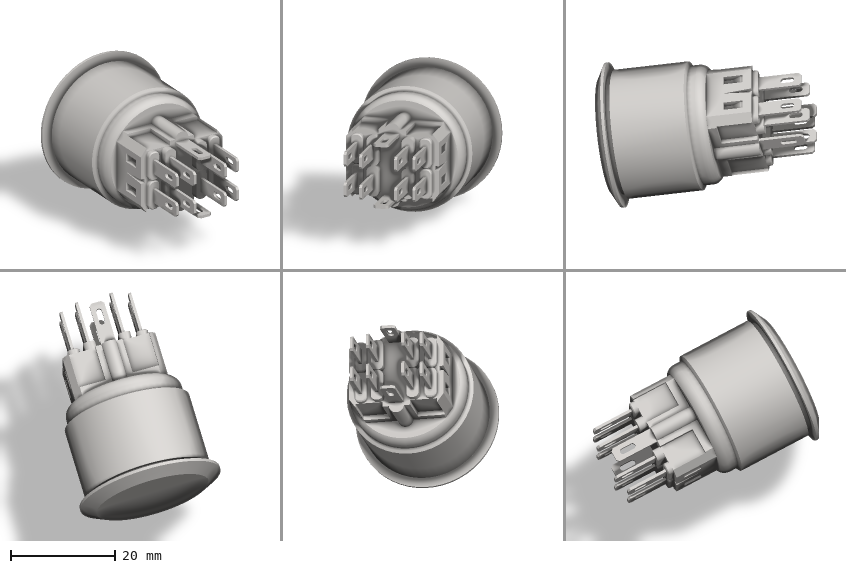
import cadquery as cq
import math

TOTAL_LENGTH = 40.4

FACE_RADIUS = 11.2
FLANGE_RADIUS = 28.0 / 2
BEVEL_END = 1.55
FLANGE_END = 2.1
NECK_RADIUS = 23.1 / 2
BARREL_RADIUS = 24.9 / 2
BARREL_START = 3.05
BARREL_END = 18.0
BARREL_CHAMFER = 0.5
TAIL_ROUND_START = 19.55
HOUSING_END = 21.35
TAIL_END_RADIUS = 10.6

BLOCK_END = 30.05
BLOCK_HALF_WIDTH = 9.25
BLOCK_HALF_HEIGHT = 7.0
FLAT_TOP_HALF_WIDTH = 7.85
FLAT_SIDE_HALF_HEIGHT = 5.1

RIB_RADIUS = 1.5
RIB_TOP = 8.32

RECESS_START = 23.03
RECESS_INNER_Y = 2.7
RECESS_OUTER_Y = 8.0
RECESS_DEPTH = 0.93

WINDOW_START = 24.65
WINDOW_LENGTH = 3.7
WINDOW_HEIGHT = 1.7
WINDOW_DEPTH = 1.25
LATCH_RAMP_START = 26.35
LATCH_RAMP_END = 27.8
LATCH_TOP_DEPTH = 0.4
NOTCH_HALF_HEIGHT = 0.45
NOTCH_DEPTH = 0.8

TERMINAL_WIDTH = 2.9
TERMINAL_THICKNESS = 0.55
TIP_CHAMFER = 0.5
TERMINAL_ROOT = 0.8
SLOT_WIDTH = 1.15
SLOT_TO_TIP = 1.37
SIDE_SLOT_LENGTH = 2.63
TOP_SLOT_LENGTH = 3.25
TERMINAL_Z = 3.05
INNER_TERMINAL_Y = 3.47
OUTER_TERMINAL_Y = 6.83
TOP_TERMINAL_Z = 6.1
OUTER_TERMINAL_END = 39.4
TOP_TERMINAL_END = 38.65

BOSS_WIDTH = 2.4
BOSS_HEIGHT = 5.98
BOSS_ROUND = 1.0
BOSS_END_CHAMFER = 0.2
INNER_BOSS_END = 31.65
OUTER_BOSS_END = 31.1


def box_between(x_range, y_range, z_range):
    """Axis-aligned box given by its two limits along each axis."""
    spans = [(min(r), max(r)) for r in (x_range, y_range, z_range)]
    sizes = [high - low for low, high in spans]
    corner = tuple(low for low, _ in spans)
    return cq.Workplane("XY").box(*sizes, centered=False).translate(corner)


def make_housing():
    """Bevelled flange, barrel and rounded tail, revolved about X."""
    round_length = HOUSING_END - TAIL_ROUND_START
    round_drop = NECK_RADIUS - TAIL_END_RADIUS
    arc_radius = (round_length**2 + round_drop**2) / (2 * round_drop)
    half_angle = math.asin(round_length / arc_radius) / 2
    arc_middle = (
        TAIL_ROUND_START + arc_radius * math.sin(half_angle),
        NECK_RADIUS - arc_radius * (1 - math.cos(half_angle)),
    )
    return (
        cq.Workplane("XY")
        .moveTo(0, 0)
        .lineTo(0, FACE_RADIUS)
        .lineTo(BEVEL_END, FLANGE_RADIUS)
        .lineTo(FLANGE_END, FLANGE_RADIUS)
        .lineTo(FLANGE_END, NECK_RADIUS)
        .lineTo(BARREL_START, NECK_RADIUS)
        .lineTo(BARREL_START, BARREL_RADIUS)
        .lineTo(BARREL_END - BARREL_CHAMFER, BARREL_RADIUS)
        .lineTo(BARREL_END, NECK_RADIUS)
        .lineTo(TAIL_ROUND_START, NECK_RADIUS)
        .threePointArc(arc_middle, (HOUSING_END, TAIL_END_RADIUS))
        .lineTo(HOUSING_END, 0)
        .close()
        .revolve(360, (0, 0, 0), (1, 0, 0))
    )


def make_block():
    """Octagonal block with a rounded rib along its top and bottom."""
    length = BLOCK_END - HOUSING_END
    octagon = []
    for side_y, side_z in ((1, 1), (-1, 1), (-1, -1), (1, -1)):
        corner = [
            (side_y * BLOCK_HALF_WIDTH, side_z * FLAT_SIDE_HALF_HEIGHT),
            (side_y * FLAT_TOP_HALF_WIDTH, side_z * BLOCK_HALF_HEIGHT),
        ]
        octagon += corner if side_y == side_z else corner[::-1]
    rear_of_housing = cq.Workplane("YZ", origin=(HOUSING_END, 0, 0))
    block = rear_of_housing.polyline(octagon).close().extrude(length)
    rib_z = RIB_TOP - RIB_RADIUS
    ribs = rear_of_housing.pushPoints([(0, rib_z), (0, -rib_z)]).circle(RIB_RADIUS).extrude(length)
    return block.union(ribs)


def make_recess(side_y, side_z):
    """Shallow pocket in the top or bottom face, open at the rear end."""
    return box_between(
        (RECESS_START, BLOCK_END),
        (side_y * RECESS_INNER_Y, side_y * RECESS_OUTER_Y),
        (side_z * (BLOCK_HALF_HEIGHT - RECESS_DEPTH), side_z * BLOCK_HALF_HEIGHT),
    )


def make_window(z_center):
    """Pocket in the -Y wall whose floor ramps up to a latch step."""
    window_end = WINDOW_START + WINDOW_LENGTH
    deep_y = WINDOW_DEPTH - BLOCK_HALF_WIDTH
    latch_y = LATCH_TOP_DEPTH - BLOCK_HALF_WIDTH
    outline = [
        (WINDOW_START, -BLOCK_HALF_WIDTH),
        (WINDOW_START, deep_y),
        (LATCH_RAMP_START, deep_y),
        (LATCH_RAMP_END, latch_y),
        (window_end, latch_y),
        (window_end, -BLOCK_HALF_WIDTH),
    ]
    low_plane = cq.Workplane("XY", origin=(0, 0, z_center - WINDOW_HEIGHT / 2))
    return low_plane.polyline(outline).close().extrude(WINDOW_HEIGHT)


def make_notch():
    """Wedge in the middle of the -Y wall, widening toward the rear end."""
    outline = [
        (WINDOW_START, 0),
        (BLOCK_END, NOTCH_HALF_HEIGHT),
        (BLOCK_END, -NOTCH_HALF_HEIGHT),
    ]
    wall = cq.Workplane("XZ", origin=(0, -BLOCK_HALF_WIDTH, 0))
    return wall.polyline(outline).close().extrude(-NOTCH_DEPTH)


def make_boss(end, y, z):
    """Insulator with rounded corners, standing on the rear of the block."""
    return (
        cq.Workplane("YZ", origin=(BLOCK_END, y, z))
        .rect(BOSS_WIDTH, BOSS_HEIGHT)
        .extrude(end - BLOCK_END)
        .edges("|X")
        .fillet(BOSS_ROUND)
    )


def make_terminal(end, slot_length):
    """Flat slotted terminal lying in the XY plane, centred on the X axis."""
    start = BLOCK_END - TERMINAL_ROOT
    slot_center = end - SLOT_TO_TIP - slot_length / 2
    plate = (
        box_between(
            (start, end),
            (-TERMINAL_WIDTH / 2, TERMINAL_WIDTH / 2),
            (-TERMINAL_THICKNESS / 2, TERMINAL_THICKNESS / 2),
        )
        .edges("|Z and >X")
        .chamfer(TIP_CHAMFER)
    )
    slot = (
        cq.Workplane("XY", origin=(slot_center, 0, -TERMINAL_THICKNESS))
        .slot2D(slot_length, SLOT_WIDTH)
        .extrude(2 * TERMINAL_THICKNESS)
    )
    return plate.cut(slot)


block = make_block()
for side_y in (1, -1):
    for side_z in (1, -1):
        block = block.cut(make_recess(side_y, side_z))

wall_cuts = make_window(TERMINAL_Z).union(make_window(-TERMINAL_Z)).union(make_notch())
block = block.cut(wall_cuts).cut(wall_cuts.mirror("XZ"))

result = make_housing().union(block)

for side_y in (1, -1):
    for side_z in (1, -1):
        z = side_z * TERMINAL_Z
        inner_boss = make_boss(INNER_BOSS_END, side_y * INNER_TERMINAL_Y, z)
        outer_boss = make_boss(OUTER_BOSS_END, side_y * OUTER_TERMINAL_Y, z)
        outer_boss = outer_boss.faces(">X").chamfer(BOSS_END_CHAMFER)
        result = result.union(inner_boss).union(outer_boss)

for end, y in ((TOTAL_LENGTH, INNER_TERMINAL_Y), (OUTER_TERMINAL_END, OUTER_TERMINAL_Y)):
    upright = make_terminal(end, SIDE_SLOT_LENGTH).rotate((0, 0, 0), (1, 0, 0), 90)
    for side_y in (1, -1):
        for side_z in (1, -1):
            result = result.union(upright.translate((0, side_y * y, side_z * TERMINAL_Z)))

flat_terminal = make_terminal(TOP_TERMINAL_END, TOP_SLOT_LENGTH)
for side_z in (1, -1):
    result = result.union(flat_terminal.translate((0, 0, side_z * TOP_TERMINAL_Z)))